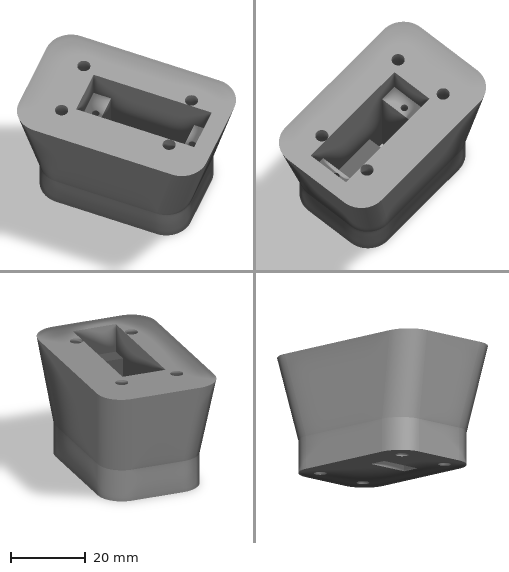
import cadquery as cq

top_length = 54.0
top_width = 34.0
base_length = 43.0
base_width = 29.0
height = 32.0
base_height = 9.0
corner_radius = 7.0

pocket_center_x = 5.0
pocket_length = 34.0
pocket_width = 12.5
ledge_depth = 8.0
well_length = 24.0
well_floor_z = base_height
slot_length = 5.0

mount_diameter = 3.5
mount_spacing_x = 31.0
mount_spacing_y = 16.0

screw_diameter = 2.0
screw_spacing = 27.8
screw_depth = 10.0

ledge_z = height - ledge_depth


def rounded_outline(length, width):
    return cq.Sketch().rect(length, width).vertices().fillet(corner_radius)


def pocket_block(length, center_x, bottom_z, top_z):
    """Rectangular cutter spanning the pocket width."""
    return (
        cq.Workplane("XY", origin=(center_x, 0, bottom_z))
        .rect(length, pocket_width)
        .extrude(top_z - bottom_z)
    )


base_outline = rounded_outline(base_length, base_width)
top_outline = rounded_outline(top_length, top_width)
base = cq.Workplane("XY").placeSketch(base_outline).extrude(base_height)
flare = (
    cq.Workplane("XY", origin=(0, 0, base_height))
    .placeSketch(base_outline, top_outline.moved(cq.Location(cq.Vector(0, 0, height - base_height))))
    .loft(ruled=True)
)
body = base.union(flare)

slot_center_x = pocket_center_x - well_length / 2 + slot_length / 2
body = body.cut(pocket_block(pocket_length, pocket_center_x, ledge_z, height))
body = body.cut(pocket_block(well_length, pocket_center_x, well_floor_z, ledge_z))
body = body.cut(pocket_block(slot_length, slot_center_x, 0, well_floor_z))

mount_holes = (
    cq.Workplane("XY")
    .rarray(mount_spacing_x, mount_spacing_y, 2, 2)
    .circle(mount_diameter / 2)
    .extrude(height)
)

screw_holes = (
    cq.Workplane("XY", origin=(pocket_center_x, 0, ledge_z))
    .rarray(screw_spacing, 0.55, 2, 1)
    .circle(screw_diameter / 2)
    .extrude(-screw_depth)
)

result = body.cut(mount_holes).cut(screw_holes)